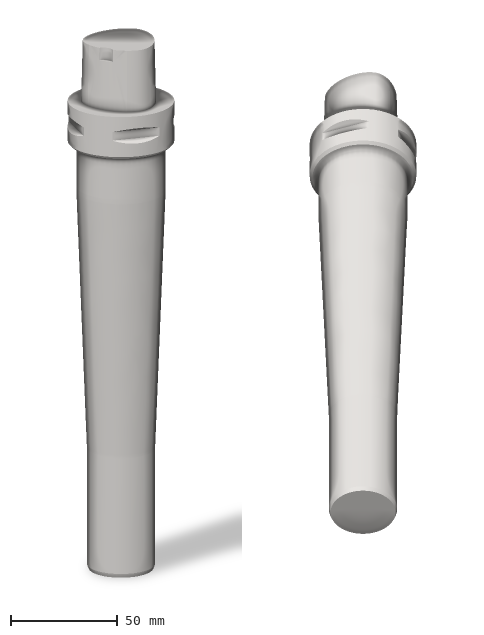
import cadquery as cq
import math

total_length = 261.0
flange_top_z = 231.0
flange_bottom_z = 211.1
flange_chamfer = 1.3
neck_fillet_radius = 1.8
flange_diameter = 50.0

neck_diameter = 42.0
shank_diameter = 32.0
taper_top_z = 187.7
taper_bottom_z = 60.0
upper_blend_length = 1.17
lower_blend_length = 0.8
foot_chamfer_height = 2.0
foot_chamfer_width = 0.8

coupling_base_width = 35.2
coupling_base_radius = coupling_base_width / 2
coupling_taper = 1 / 40
lobe_eccentricity = 1.12
lobe_half_angle = 35.0
first_lobe_angle = 90.0
spline_spans = 8

notch_width = 7.3
notch_height = 6.0
notch_floor_y = -13.8
notch_radius = 4.7

slot_count = 4
slot_first_angle = 45.0
slot_center_z = 221.3
slot_floor_distance = 22.2
slot_floor_height = 4.2
slot_flank_angle = 30.0
cutter_margin = 2.5


def turned_body():
    """Revolve the flange, neck, taper and shank about Z."""
    flange_radius = flange_diameter / 2
    neck_radius = neck_diameter / 2
    shank_radius = shank_diameter / 2
    slope = (neck_radius - shank_radius) / (taper_top_z - taper_bottom_z)
    under_flange_radius = flange_radius - flange_chamfer
    under_flange_z = flange_bottom_z - flange_chamfer
    fillet_center = (neck_radius + neck_fillet_radius, under_flange_z - neck_fillet_radius)
    fillet_offset = neck_fillet_radius * math.sqrt(0.5)
    fillet_middle = (fillet_center[0] - fillet_offset, fillet_center[1] + fillet_offset)
    upper_taper_point = (neck_radius - slope * upper_blend_length, taper_top_z - upper_blend_length)
    lower_taper_point = (shank_radius + slope * lower_blend_length, taper_bottom_z + lower_blend_length)
    profile = (
        cq.Workplane("XZ")
        .moveTo(0, flange_top_z)
        .lineTo(flange_radius, flange_top_z)
        .lineTo(flange_radius, flange_bottom_z)
        .lineTo(under_flange_radius, under_flange_z)
        .lineTo(fillet_center[0], under_flange_z)
        .threePointArc(fillet_middle, (neck_radius, fillet_center[1]))
        .lineTo(neck_radius, taper_top_z + upper_blend_length)
        .tangentArcPoint(upper_taper_point, relative=False)
        .lineTo(*lower_taper_point)
        .tangentArcPoint((shank_radius, taper_bottom_z - lower_blend_length), relative=False)
        .lineTo(shank_radius, foot_chamfer_height)
        .lineTo(shank_radius - foot_chamfer_width, 0)
        .lineTo(0, 0)
        .close()
    )
    return profile.revolve(360, (0, 0, 0), (0, 1, 0))


def lobe_point(mean_radius, normal_angle, z):
    """Point of the lobed outline whose outward normal has the given angle from the first lobe."""
    angle = math.radians(normal_angle)
    support = mean_radius + lobe_eccentricity * math.cos(3 * angle)
    support_slope = -3 * lobe_eccentricity * math.sin(3 * angle)
    turn = angle + math.radians(first_lobe_angle)
    x = support * math.cos(turn) - support_slope * math.sin(turn)
    y = support * math.sin(turn) + support_slope * math.cos(turn)
    return cq.Vector(x, y, z)


def lobed_outline(mean_radius, z):
    """Closed outline of three lobes joined by three flanks."""
    edges = []
    for lobe in range(3):
        lobe_start = 120 * lobe - lobe_half_angle
        lobe_end = 120 * lobe + lobe_half_angle
        next_lobe = lobe_start + 120
        for start, end in ((lobe_start, lobe_end), (lobe_end, next_lobe)):
            step = (end - start) / spline_spans
            points = [lobe_point(mean_radius, start + i * step, z) for i in range(spline_spans + 1)]
            end_normals = (math.radians(first_lobe_angle + a + 90) for a in (start, end))
            tangents = [cq.Vector(math.cos(a), math.sin(a), 0) for a in end_normals]
            edges.append(cq.Edge.makeSpline(points, tangents=tangents))
    return cq.Wire.assembleEdges(edges)


def coupling():
    """Tapered lobed coupling with the key notch on its -Y flank."""
    top_radius = coupling_base_radius - coupling_taper * (total_length - flange_top_z)
    base = lobed_outline(coupling_base_radius, flange_top_z)
    top = lobed_outline(top_radius, total_length)
    stem = cq.Workplane(cq.Solid.makeLoft([base, top], True))
    half_width = notch_width / 2
    sagitta = notch_radius - math.sqrt(notch_radius**2 - half_width**2)
    notch_side_y = notch_floor_y - sagitta
    outside_y = -coupling_base_radius - cutter_margin
    notch = (
        cq.Workplane("XY", origin=(0, 0, total_length - notch_height))
        .moveTo(-half_width, outside_y)
        .lineTo(-half_width, notch_side_y)
        .threePointArc((0, notch_floor_y), (half_width, notch_side_y))
        .lineTo(half_width, outside_y)
        .close()
        .extrude(notch_height + cutter_margin)
    )
    return stem.cut(notch)


def slot_cutter():
    """Straight cutter with sloped flanks, for a slot facing +X."""
    outer_distance = flange_diameter / 2 + cutter_margin
    floor_half = slot_floor_height / 2
    flank_rise = (outer_distance - slot_floor_distance) * math.tan(math.radians(slot_flank_angle))
    outer_half = floor_half + flank_rise
    return (
        cq.Workplane("XZ", origin=(0, 0, slot_center_z))
        .moveTo(slot_floor_distance, -floor_half)
        .lineTo(outer_distance, -outer_half)
        .lineTo(outer_distance, outer_half)
        .lineTo(slot_floor_distance, floor_half)
        .close()
        .extrude(flange_diameter / 2, both=True)
    )


result = turned_body()
for slot in range(slot_count):
    slot_angle = slot_first_angle + slot * 360 / slot_count
    result = result.cut(slot_cutter().rotate((0, 0, 0), (0, 0, 1), slot_angle))
result = result.union(coupling())